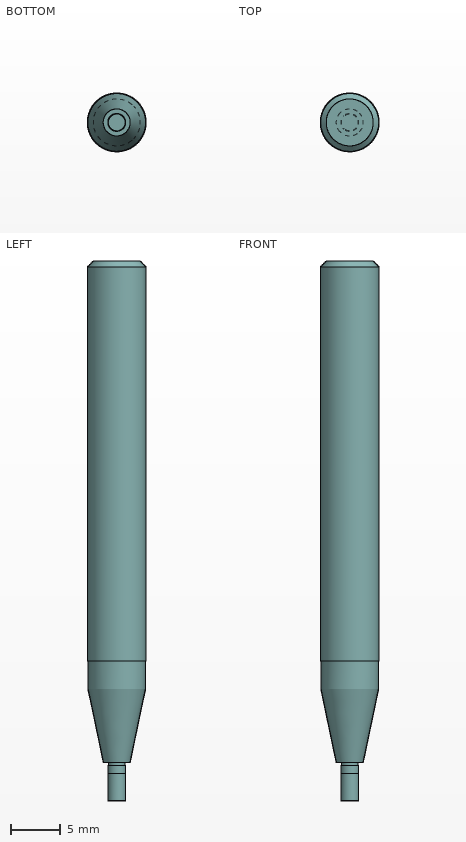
import cadquery as cq

total_length = 55.0
shank_diameter = 6.0
collar_diameter = 5.9
taper_end_diameter = 2.75
neck_diameter = 1.7
tip_diameter = 1.8
shank_chamfer = 0.6

tip_top = 2.8
land_top = 3.65
taper_bottom = 3.9
taper_top = 11.4
collar_top = 14.25


def make_holder():
    """Chamfered shank, collar, taper, neck and the land that carries the tip."""
    shank_radius = shank_diameter / 2
    collar_radius = collar_diameter / 2
    neck_radius = neck_diameter / 2
    land_radius = tip_diameter / 2
    return (
        cq.Workplane("XZ")
        .moveTo(0, tip_top)
        .lineTo(land_radius, tip_top)
        .lineTo(land_radius, land_top)
        .lineTo(neck_radius, land_top)
        .lineTo(neck_radius, taper_bottom)
        .lineTo(taper_end_diameter / 2, taper_bottom)
        .lineTo(collar_radius, taper_top)
        .lineTo(collar_radius, collar_top)
        .lineTo(shank_radius, collar_top)
        .lineTo(shank_radius, total_length - shank_chamfer)
        .lineTo(shank_radius - shank_chamfer, total_length)
        .lineTo(0, total_length)
        .close()
        .revolve(360, (0, 0, 0), (0, 1, 0))
    )


def make_tip():
    """Plain cylindrical tip that sits flat against the land of the holder."""
    return cq.Workplane("XY").circle(tip_diameter / 2).extrude(tip_top)


holder = make_holder()
tip = make_tip()

result = cq.Compound.makeCompound([holder.val(), tip.val()])